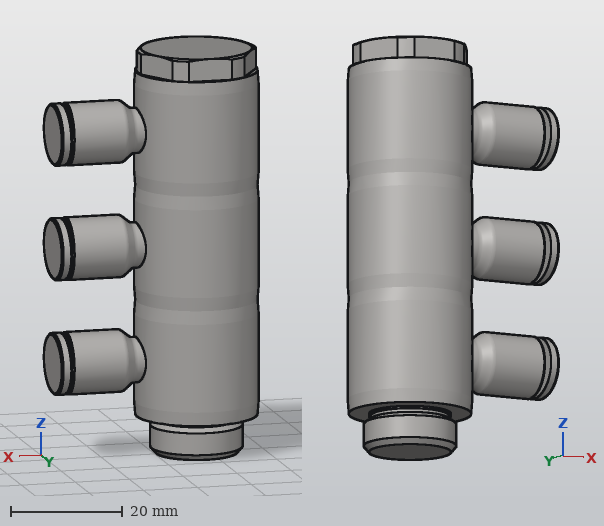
import cadquery as cq
import math

body_radius = 11.2
body_end_radius = 11.0
body_taper_length = 2.45
body_pitch = 21.0
body_count = 3
body_base_z = 7.0
total_height = 74.0

stud_radius = 8.33
stud_root_radius = 7.35
stud_relief_radius = 7.1
stud_chamfer_height = 1.1
stud_shoulder_z = 5.1
stud_relief_low_z = 5.95
stud_relief_high_z = 6.6

hex_across_flats = 20.0
hex_flat_half_width = 4.0
hex_chamfer_height = 0.3

fitting_tip_x = 26.65
fitting_z_in_body = body_pitch / 2
neck_radius = 4.1
sleeve_radius = 5.65
neck_end_x = 12.2
cone_length = 1.95
cone_blend_radius = 1.0
sleeve_end_x = 24.35
sleeve_edge_chamfer = 0.3
stem_radius = 3.7
collar_start_x = 24.95
collar_width_y = 13.2
collar_height_z = 11.1
collar_edge_chamfer = 0.3

head_base_z = body_base_z + body_count * body_pitch


def make_stud():
    profile = [
        (0, 0),
        (stud_root_radius, 0),
        (stud_radius, stud_chamfer_height),
        (stud_radius, stud_shoulder_z),
        (stud_relief_radius, stud_relief_low_z),
        (stud_relief_radius, stud_relief_high_z),
        (stud_root_radius, stud_relief_high_z),
        (stud_root_radius, body_base_z),
        (0, body_base_z),
    ]
    return cq.Workplane("XZ").polyline(profile).close().revolve(360, (0, 0), (0, 1))


def make_body(base_z):
    """Barrel that narrows slightly towards both ends."""
    top_z = base_z + body_pitch
    profile = [
        (0, base_z),
        (body_end_radius, base_z),
        (body_radius, base_z + body_taper_length),
        (body_radius, top_z - body_taper_length),
        (body_end_radius, top_z),
        (0, top_z),
    ]
    return cq.Workplane("XZ").polyline(profile).close().revolve(360, (0, 0), (0, 1))


def make_head():
    """Hexagon with flats facing +Y and -Y, its corners turned round and chamfered on top."""
    flat_distance = hex_across_flats / 2
    corner_radius = math.hypot(flat_distance, hex_flat_half_width)
    hex_corner_diameter = hex_across_flats / math.cos(math.pi / 6)
    height = total_height - head_base_z
    hexagon = cq.Workplane("XY", origin=(0, 0, head_base_z)).polygon(6, hex_corner_diameter).extrude(height)
    turned_profile = [
        (0, head_base_z),
        (corner_radius, head_base_z),
        (corner_radius, total_height - hex_chamfer_height),
        (flat_distance, total_height),
        (0, total_height),
    ]
    turned = cq.Workplane("XZ").polyline(turned_profile).close().revolve(360, (0, 0), (0, 1))
    return hexagon.intersect(turned)


def make_fitting(axis_z):
    """Neck, cone, sleeve, stem and oval release collar."""
    cone_end_x = neck_end_x + cone_length
    cone_angle = math.atan2(sleeve_radius - neck_radius, cone_length)
    half_angle = cone_angle / 2
    tangent = cone_blend_radius * math.tan(half_angle)
    tangent_x = tangent * math.cos(cone_angle)
    tangent_r = tangent * math.sin(cone_angle)
    corner_gap = cone_blend_radius * (1 / math.cos(half_angle) - 1)
    gap_x = corner_gap * math.sin(half_angle)
    gap_r = corner_gap * math.cos(half_angle)
    tube = (
        cq.Workplane("XZ")
        .moveTo(0, 0)
        .lineTo(0, neck_radius)
        .lineTo(neck_end_x - tangent, neck_radius)
        .threePointArc(
            (neck_end_x - gap_x, neck_radius + gap_r),
            (neck_end_x + tangent_x, neck_radius + tangent_r),
        )
        .lineTo(cone_end_x - tangent_x, sleeve_radius - tangent_r)
        .threePointArc(
            (cone_end_x + gap_x, sleeve_radius - gap_r),
            (cone_end_x + tangent, sleeve_radius),
        )
        .lineTo(sleeve_end_x - sleeve_edge_chamfer, sleeve_radius)
        .lineTo(sleeve_end_x, sleeve_radius - sleeve_edge_chamfer)
        .lineTo(sleeve_end_x, stem_radius)
        .lineTo(collar_start_x, stem_radius)
        .lineTo(collar_start_x, 0)
        .close()
        .revolve(360, (0, 0), (1, 0))
    )
    collar = (
        cq.Workplane("YZ", origin=(collar_start_x, 0, 0))
        .ellipse(collar_width_y / 2, collar_height_z / 2)
        .extrude(fitting_tip_x - collar_start_x)
        .faces(">X")
        .chamfer(collar_edge_chamfer)
    )
    return tube.union(collar).translate((0, 0, axis_z))


result = make_stud().union(make_head())
for index in range(body_count):
    base_z = body_base_z + index * body_pitch
    result = result.union(make_body(base_z))
    result = result.union(make_fitting(base_z + fitting_z_in_body))